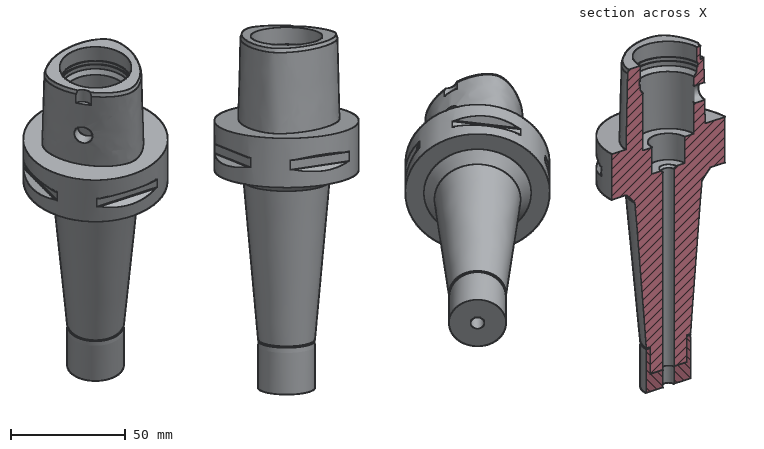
import cadquery as cq
import math

TOTAL_HEIGHT = 158.0
SHANK_HEIGHT = 37.9
FLANGE_HEIGHT = 22.1
COLLAR_HEIGHT = 4.9
NUT_HEIGHT = 21.0
NUT_GAP = 0.3
FLANGE_TOP = TOTAL_HEIGHT - SHANK_HEIGHT
FLANGE_BOTTOM = FLANGE_TOP - FLANGE_HEIGHT
NECK_TOP = FLANGE_BOTTOM - COLLAR_HEIGHT
NECK_BOTTOM = NUT_HEIGHT + NUT_GAP

FLANGE_RADIUS = 63.0 / 2
COLLAR_RADIUS = 23.4
NECK_TOP_RADIUS = 18.8
NUT_RADIUS = 12.5
NECK_CHAMFER = 0.5
NUT_RIM_HEIGHT = 2.2
NUT_RIM_TAPER = 0.2
SPIGOT_RADIUS = 10.3
SPIGOT_LENGTH = 12.6

SHANK_BASE_RADIUS = 22.1
SHANK_TAPER = 1 / 40
LOBE_HEIGHT = 1.6
SHANK_CHAMFER_HEIGHT = 1.7
SHANK_CHAMFER_WIDTH = 0.6
LOBE_POINTS = 24

BORE_MOUTH_RADIUS = 15.6
BORE_RADIUS = 14.0
BORE_CONE_START = 11.7
BORE_CONE_END = 13.7
BORE_DEPTH = 41.1
BORE_GROOVE_RADIUS = 16.1
BORE_GROOVE_START = 7.6
BORE_GROOVE_END = 9.5
COUNTERBORE_RADIUS = 9.0
COUNTERBORE_DEPTH = 53.7
COOLANT_RADIUS = 3.0
COOLANT_CHAMFER = 1.1

NOTCH_WIDTH = 7.1
NOTCH_DEPTH = 6.3
NOTCH_BACK = 17.9
NOTCH_BACK_RISE = 1.7
SIDE_HOLE_RADIUS = 4.1
SIDE_HOLE_HEIGHT = 135.5
SIDE_HOLE_FLOOR = 14.5

SLOT_COUNT = 4
SLOT_FIRST_ANGLE = 45.0
SLOT_HEIGHT = 108.0
SLOT_FLOOR_RADIUS = 27.6
SLOT_FLOOR_WIDTH = 4.3
SLOT_WALL_DEPTH = 0.6
SLOT_FLANK_RISE = 1.6


def lobed_wire(radius, height):
    """Closed outline of the shank, with one of its three lobes pointing to +Y."""
    points = []
    for i in range(LOBE_POINTS):
        angle = 2 * math.pi * i / LOBE_POINTS
        reach = radius + LOBE_HEIGHT * math.cos(3 * angle)
        slope = -3 * LOBE_HEIGHT * math.sin(3 * angle)
        x = reach * math.sin(angle) + slope * math.cos(angle)
        y = reach * math.cos(angle) - slope * math.sin(angle)
        points.append(cq.Vector(x, y, height))
    return cq.Wire.assembleEdges([cq.Edge.makeSpline(points, periodic=True)])


def make_shank():
    chamfer_start = TOTAL_HEIGHT - SHANK_CHAMFER_HEIGHT
    upper_radius = SHANK_BASE_RADIUS - (chamfer_start - FLANGE_TOP) * SHANK_TAPER
    base = lobed_wire(SHANK_BASE_RADIUS, FLANGE_TOP)
    shoulder = lobed_wire(upper_radius, chamfer_start)
    rim = lobed_wire(upper_radius - SHANK_CHAMFER_WIDTH, TOTAL_HEIGHT)
    taper = cq.Solid.makeLoft([base, shoulder], True)
    chamfer = cq.Solid.makeLoft([shoulder, rim], True)
    return cq.Workplane(taper).union(cq.Workplane(chamfer))


def revolve_profile(points):
    """Turn a closed (radius, height) profile around the Z axis."""
    return cq.Workplane("XZ").polyline(points).close().revolve(360, (0, 0), (0, 1))


def make_turned_body():
    """Flange, conical collar, tapering neck and the spigot that enters the nut."""
    return revolve_profile([
        (0, FLANGE_TOP),
        (FLANGE_RADIUS, FLANGE_TOP),
        (FLANGE_RADIUS, FLANGE_BOTTOM),
        (COLLAR_RADIUS, FLANGE_BOTTOM),
        (NECK_TOP_RADIUS, NECK_TOP),
        (NUT_RADIUS, NECK_BOTTOM + NECK_CHAMFER),
        (NUT_RADIUS - NECK_CHAMFER, NECK_BOTTOM),
        (SPIGOT_RADIUS, NECK_BOTTOM),
        (SPIGOT_RADIUS, NUT_HEIGHT - SPIGOT_LENGTH),
        (0, NUT_HEIGHT - SPIGOT_LENGTH),
    ])


def make_bore():
    """Stepped bore and coolant hole, open at both ends."""
    floor = TOTAL_HEIGHT - BORE_DEPTH
    counterbore_floor = TOTAL_HEIGHT - COUNTERBORE_DEPTH
    return revolve_profile([
        (0, TOTAL_HEIGHT),
        (BORE_MOUTH_RADIUS, TOTAL_HEIGHT),
        (BORE_MOUTH_RADIUS, TOTAL_HEIGHT - BORE_GROOVE_START),
        (BORE_GROOVE_RADIUS, TOTAL_HEIGHT - BORE_GROOVE_START),
        (BORE_GROOVE_RADIUS, TOTAL_HEIGHT - BORE_GROOVE_END),
        (BORE_MOUTH_RADIUS, TOTAL_HEIGHT - BORE_GROOVE_END),
        (BORE_MOUTH_RADIUS, TOTAL_HEIGHT - BORE_CONE_START),
        (BORE_RADIUS, TOTAL_HEIGHT - BORE_CONE_END),
        (BORE_RADIUS, floor),
        (COUNTERBORE_RADIUS, floor),
        (COUNTERBORE_RADIUS, counterbore_floor),
        (COOLANT_RADIUS + COOLANT_CHAMFER, counterbore_floor),
        (COOLANT_RADIUS, counterbore_floor - COOLANT_CHAMFER),
        (COOLANT_RADIUS, 0),
        (0, 0),
    ])


def make_notch():
    """Parallel-sided notch in the shank rim, with a rounded back wall."""
    half_width = NOTCH_WIDTH / 2
    side_end = -NOTCH_BACK - NOTCH_BACK_RISE
    return (
        cq.Workplane("XY", origin=(0, 0, TOTAL_HEIGHT - NOTCH_DEPTH))
        .moveTo(-half_width, -SHANK_BASE_RADIUS)
        .lineTo(-half_width, side_end)
        .threePointArc((0, -NOTCH_BACK), (half_width, side_end))
        .lineTo(half_width, -SHANK_BASE_RADIUS)
        .close()
        .extrude(NOTCH_DEPTH)
    )


def make_side_hole():
    """Blind hole from the -Y side, stopping short of the bore."""
    return (
        cq.Workplane("XZ", origin=(0, -SIDE_HOLE_FLOOR, SIDE_HOLE_HEIGHT))
        .circle(SIDE_HOLE_RADIUS)
        .extrude(SHANK_BASE_RADIUS)
    )


def make_gripper_slot(angle):
    """Straight slot with a flat floor, low square walls and sloping flanks."""
    half_floor = SLOT_FLOOR_WIDTH / 2
    flank_start = SLOT_FLOOR_RADIUS + SLOT_WALL_DEPTH
    half_mouth = half_floor + SLOT_FLANK_RISE
    return (
        cq.Workplane("XZ", origin=(0, FLANGE_RADIUS, SLOT_HEIGHT))
        .polyline([
            (SLOT_FLOOR_RADIUS, -half_floor),
            (flank_start, -half_floor),
            (FLANGE_RADIUS, -half_mouth),
            (FLANGE_RADIUS, half_mouth),
            (flank_start, half_floor),
            (SLOT_FLOOR_RADIUS, half_floor),
        ])
        .close()
        .extrude(2 * FLANGE_RADIUS)
        .rotate((0, 0, 0), (0, 0, 1), angle)
    )


def make_holder():
    holder = make_turned_body().union(make_shank())
    holder = holder.cut(make_bore()).cut(make_notch()).cut(make_side_hole())
    for i in range(SLOT_COUNT):
        holder = holder.cut(make_gripper_slot(SLOT_FIRST_ANGLE + i * 360 / SLOT_COUNT))
    return holder


def make_nut():
    """Round clamping nut with a recess for the spigot and the coolant hole through it."""
    recess_floor = NUT_HEIGHT - SPIGOT_LENGTH
    return revolve_profile([
        (COOLANT_RADIUS, 0),
        (NUT_RADIUS, 0),
        (NUT_RADIUS, NUT_HEIGHT - NUT_RIM_HEIGHT),
        (NUT_RADIUS - NUT_RIM_TAPER, NUT_HEIGHT),
        (SPIGOT_RADIUS, NUT_HEIGHT),
        (SPIGOT_RADIUS, recess_floor),
        (COOLANT_RADIUS, recess_floor),
    ])


holder = make_holder()
nut = make_nut()
result = cq.Compound.makeCompound([holder.val(), nut.val()])